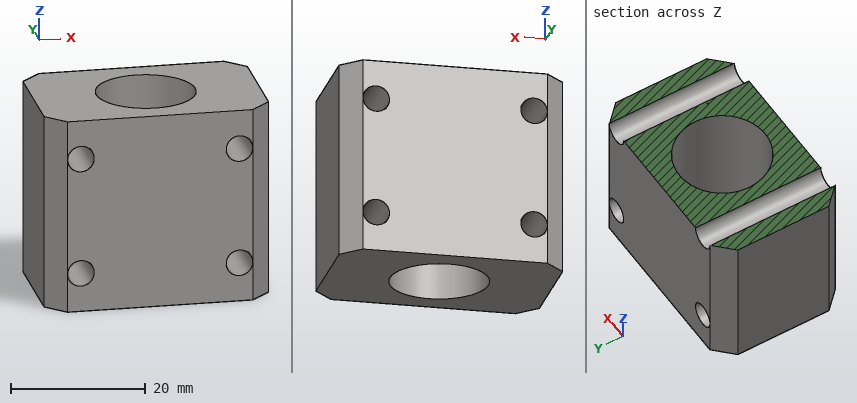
import cadquery as cq

width = 34.0
depth = 22.0
height = 30.0
corner_chamfer = 3.0

bore_diameter = 15.0

hole_diameter = 4.0
hole_spacing_x = width - 2 * corner_chamfer - hole_diameter
hole_spacing_z = 18.0


def make_block():
    """Rectangular block with its four vertical edges chamfered."""
    return cq.Workplane("XY").box(width, depth, height).edges("|Z").chamfer(corner_chamfer)


def make_bore():
    """Cylinder that cuts the central vertical bore."""
    return cq.Workplane("XY").circle(bore_diameter / 2).extrude(height / 2, both=True)


def make_mounting_holes():
    """Four cylinders that cut the mounting holes through the full depth."""
    return (
        cq.Workplane("XZ")
        .rarray(hole_spacing_x, hole_spacing_z, 2, 2)
        .circle(hole_diameter / 2)
        .extrude(depth / 2, both=True)
    )


result = make_block().cut(make_bore()).cut(make_mounting_holes())